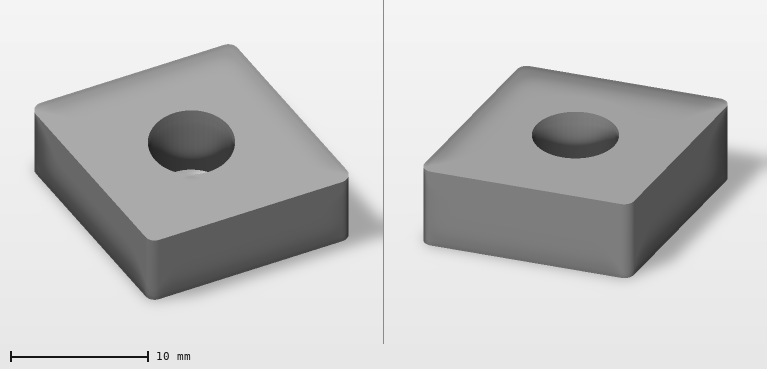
import cadquery as cq
import math

length = 18.61
width = 15.87
thickness = 6.35
hole_diameter = 6.35
nose_radius = 0.8
nose_angle = 80.0

lean_per_width = 1 / math.tan(math.radians(nose_angle))
nose_center_lean = (width - 2 * nose_radius) * lean_per_width
nose_center_side = length - 2 * nose_radius - nose_center_lean
side = nose_center_side + 2 * nose_radius / math.sin(math.radians(nose_angle))
lean = width * lean_per_width

right_x = (side + lean) / 2
inner_x = (side - lean) / 2
half_width = width / 2
corners = [
    (-right_x, -half_width),
    (inner_x, -half_width),
    (right_x, half_width),
    (-inner_x, half_width),
]

body = cq.Workplane("XY").polyline(corners).close().extrude(thickness)
body = body.edges("|Z").fillet(nose_radius)

result = body.faces(">Z").workplane(origin=(0, 0, thickness)).hole(hole_diameter)